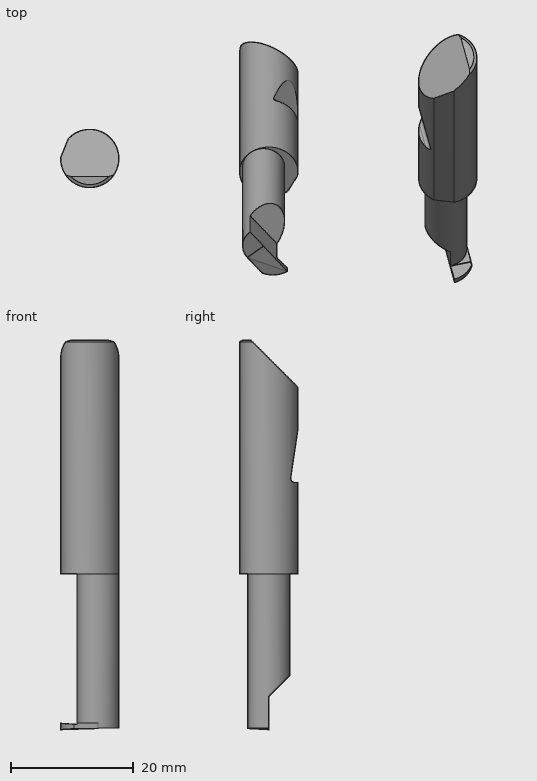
import cadquery as cq
import math

length = 63.5
shank_radius = 4.75
shoulder_z = 25.4
overcut = 6.35

rim_width = 0.5
rim_height = 0.25
bevel_start_y = -2.9

flat_front_y = 0.1
flat_back_y = 3.2

notch_floor_z = 40.3
notch_top_z = 48.9
notch_floor_y = 3.5
notch_corner_radius = 0.65

neck_radius = 3.4
neck_x = shank_radius - neck_radius
neck_bottom_z = 0.25
rake_face_z = 5.4

blade_corner_x = -2.55
flank_bulge_x = -4.1
flank_bulge_y = -1.9
blade_top_z = 1.1
groove_depth = 0.2
groove_end_x = -2.1
blade_relief = 0.2


def across_x(outline, half_width):
    """Prism along X from an outline of (y, z) points."""
    return cq.Workplane("YZ").polyline(outline).close().extrude(half_width, both=True)


def make_shank():
    height = length - shoulder_z
    shank = cq.Workplane("XY").workplane(offset=shoulder_z).circle(shank_radius).extrude(height)
    return shank.faces(">Z").chamfer(rim_height, rim_width)


def end_bevel():
    reach = shank_radius + overcut - bevel_start_y
    outline = [
        (bevel_start_y, length),
        (bevel_start_y + reach, length - reach),
        (bevel_start_y + reach, length),
    ]
    return across_x(outline, shank_radius + overcut)


def side_flat():
    def rim_x(y):
        return -math.sqrt(shank_radius**2 - y**2)

    front_x = rim_x(flat_front_y)
    back_x = rim_x(flat_back_y)
    run_x = back_x - front_x
    run_y = flat_back_y - flat_front_y
    outline = [
        (front_x - run_x, flat_front_y - run_y),
        (back_x + run_x, flat_back_y + run_y),
        (front_x - overcut, flat_back_y + run_y),
        (front_x - overcut, flat_front_y - run_y),
    ]
    return cq.Workplane("XY").workplane(offset=shoulder_z).polyline(outline).close().extrude(length)


def clamping_notch():
    depth = shank_radius - notch_floor_y
    rise = notch_top_z - notch_floor_z
    outline = [
        (notch_floor_y, notch_floor_z),
        (notch_floor_y + 2 * depth, notch_floor_z),
        (notch_floor_y + 2 * depth, notch_floor_z + 2 * rise),
    ]
    notch = across_x(outline, shank_radius + overcut)
    inner_corner = cq.selectors.NearestToPointSelector((0, notch_floor_y, notch_floor_z))
    return notch.edges(inner_corner).fillet(notch_corner_radius)


def make_neck():
    plane = cq.Workplane("XY").workplane(offset=neck_bottom_z)
    neck = plane.center(neck_x, 0).circle(neck_radius).extrude(shoulder_z - neck_bottom_z)
    reach = neck_radius + overcut
    outline = [
        (0, -overcut),
        (0, rake_face_z),
        (reach, rake_face_z + reach),
        (reach, -overcut),
    ]
    return neck.cut(across_x(outline, shank_radius + overcut))


def make_blade():
    blade = (
        cq.Workplane("XY")
        .moveTo(neck_x, 0)
        .lineTo(-shank_radius, 0)
        .threePointArc((flank_bulge_x, flank_bulge_y), (blade_corner_x, -neck_radius))
        .lineTo(neck_x, -neck_radius)
        .close()
        .extrude(blade_top_z)
    )
    front_relief = across_x([(0, 0), (-neck_radius, blade_relief), (-neck_radius, 0)], shank_radius)
    side_relief = (
        cq.Workplane("XZ")
        .polyline([(-shank_radius, 0), (neck_x, blade_relief), (neck_x, 0)])
        .close()
        .extrude(neck_radius)
    )
    groove = (
        cq.Workplane("XZ")
        .polyline([
            (-shank_radius, blade_top_z),
            (groove_end_x, blade_top_z - groove_depth),
            (groove_end_x, blade_top_z),
        ])
        .close()
        .extrude(neck_radius)
    )
    return blade.cut(front_relief).cut(side_relief).cut(groove)


shank = make_shank().cut(end_bevel()).cut(side_flat()).cut(clamping_notch())
result = shank.union(make_neck()).union(make_blade())